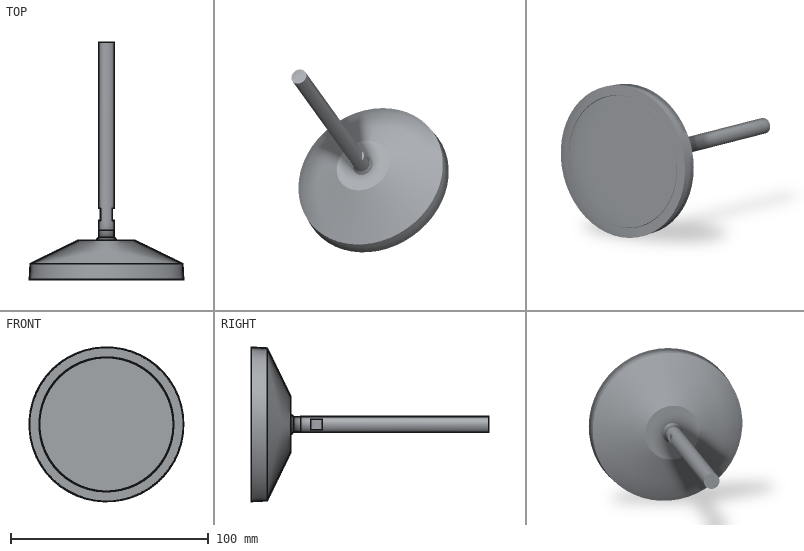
import cadquery as cq
import math


TOTAL_LENGTH = 120.0

PLATE_HEIGHT = 20.0
BASE_RADIUS = 39.0
RIM_HEIGHT = 8.0
RIM_DRAFT_DEG = 3.0
RIM_TOP_RADIUS = BASE_RADIUS - RIM_HEIGHT * math.tan(math.radians(RIM_DRAFT_DEG))
CROWN_RADIUS = 14.0

SOLE_DIAMETER = 67.5
GROOVE_OUTER_DIAMETER = 68.0
GROOVE_DEPTH = 3.0

SHAFT_RADIUS = 8.0 / 2
SHAFT_START = 25.0
NECK_RADIUS = 7.8 / 2
NECK_START = 21.4
BALL_RADIUS = 6.0
BALL_CENTER = NECK_START - math.sqrt(BALL_RADIUS**2 - NECK_RADIUS**2)

FLATS_WIDTH = 6.0
FLATS_START = 30.0
FLATS_LENGTH = 6.0


def make_spindle():
    """Shaft, neck and ball turned as one profile, with two wrench flats."""
    spindle = (
        cq.Workplane("XY")
        .moveTo(0, BALL_CENTER - BALL_RADIUS)
        .threePointArc((BALL_RADIUS, BALL_CENTER), (NECK_RADIUS, NECK_START))
        .lineTo(NECK_RADIUS, SHAFT_START)
        .lineTo(SHAFT_RADIUS, SHAFT_START)
        .lineTo(SHAFT_RADIUS, TOTAL_LENGTH)
        .lineTo(0, TOTAL_LENGTH)
        .close()
        .revolve(360, (0, 0, 0), (0, 1, 0))
    )
    for side in (-1, 1):
        cutter_x = side * (FLATS_WIDTH + SHAFT_RADIUS) / 2
        cutter_y = FLATS_START + FLATS_LENGTH / 2
        cutter = cq.Workplane("XY").box(SHAFT_RADIUS, FLATS_LENGTH, 2 * SHAFT_RADIUS)
        spindle = spindle.cut(cutter.translate((cutter_x, cutter_y, 0)))
    return spindle


def make_foot():
    """Conical plate with a drafted rim, a sole groove and a ball socket."""
    plate = (
        cq.Workplane("XY")
        .polyline(
            [
                (0, 0),
                (BASE_RADIUS, 0),
                (RIM_TOP_RADIUS, RIM_HEIGHT),
                (CROWN_RADIUS, PLATE_HEIGHT),
                (0, PLATE_HEIGHT),
            ]
        )
        .close()
        .revolve(360, (0, 0, 0), (0, 1, 0))
    )
    groove = (
        cq.Workplane("XZ")
        .circle(GROOVE_OUTER_DIAMETER / 2)
        .circle(SOLE_DIAMETER / 2)
        .extrude(-GROOVE_DEPTH)
    )
    socket = cq.Workplane("XY").sphere(BALL_RADIUS).translate((0, BALL_CENTER, 0))
    return plate.cut(groove).cut(socket)


spindle = make_spindle()
foot = make_foot()

result = cq.Compound.makeCompound([spindle.val(), foot.val()])